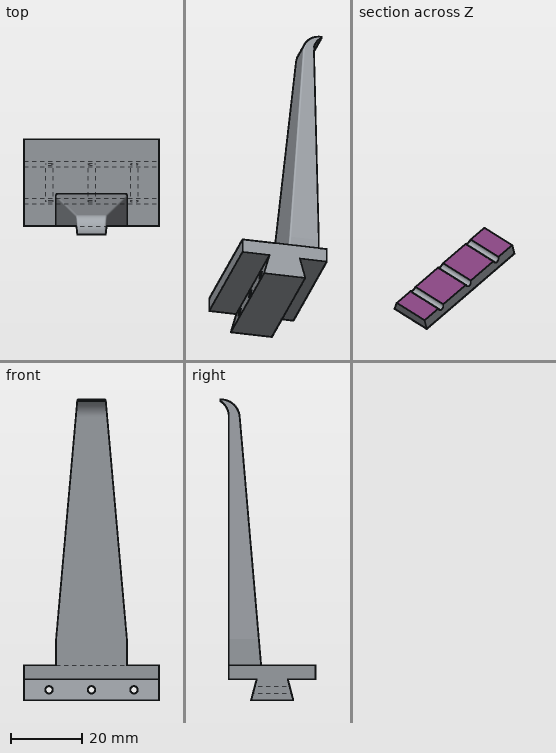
import cadquery as cq
import math

plate_length = 38.1
plate_depth = 24.5
plate_thickness = 4.0

rail_height = 5.9
rail_bottom_width = 11.95
rail_top_width = 8.8
hole_diameter = 2.0
hole_spacing = 11.95
hole_height = 3.0

total_height = 84.8
finger_width = 20.0
finger_base_depth = 9.2
taper_start_height = 17.2
hook_start_height = 79.8
hook_start_width = 8.9
hook_start_depth = 3.1
tip_overhang = 2.4
tip_edge_height = 0.5
inner_arc_radius = 5.1
edge_radius = 0.5

plate_top = rail_height + plate_thickness
rail_center = plate_depth / 2


def make_plate():
    return cq.Workplane("XY").box(
        plate_length, plate_depth, plate_thickness, centered=(True, False, False)
    ).translate((0, 0, rail_height))


def make_rail():
    rail = (
        cq.Workplane("YZ")
        .moveTo(rail_center - rail_bottom_width / 2, 0)
        .lineTo(rail_center + rail_bottom_width / 2, 0)
        .lineTo(rail_center + rail_top_width / 2, rail_height)
        .lineTo(rail_center - rail_top_width / 2, rail_height)
        .close()
        .extrude(plate_length / 2, both=True)
    )
    holes = (
        cq.Workplane("XZ")
        .pushPoints([(i * hole_spacing, hole_height) for i in (-1, 0, 1)])
        .circle(hole_diameter / 2)
        .extrude(-plate_depth)
    )
    return rail.cut(holes)


def make_finger():
    back_rise = hook_start_height - plate_top
    back_run = hook_start_depth - finger_base_depth
    inner_start = (0, hook_start_height)
    inner_end = (-tip_overhang, total_height - tip_edge_height)
    chord_y = inner_end[0] - inner_start[0]
    chord_z = inner_end[1] - inner_start[1]
    chord = math.hypot(chord_y, chord_z)
    sagitta = inner_arc_radius - math.sqrt(inner_arc_radius**2 - (chord / 2) ** 2)
    inner_middle = (
        (inner_start[0] + inner_end[0]) / 2 + sagitta * chord_z / chord,
        (inner_start[1] + inner_end[1]) / 2 - sagitta * chord_y / chord,
    )
    side = (
        cq.Workplane("YZ")
        .moveTo(0, plate_top)
        .lineTo(finger_base_depth, plate_top)
        .lineTo(hook_start_depth, hook_start_height)
        .tangentArcPoint((-tip_overhang, total_height), relative=False)
        .lineTo(*inner_end)
        .threePointArc(inner_middle, inner_start)
        .close()
        .extrude(finger_width / 2, both=True)
    )

    side_slope = (finger_width - hook_start_width) / 2 / (hook_start_height - taper_start_height)
    tip_half_width = finger_width / 2 - side_slope * (total_height - taper_start_height)
    outline = (
        cq.Workplane("XZ")
        .moveTo(-finger_width / 2, plate_top)
        .lineTo(finger_width / 2, plate_top)
        .lineTo(finger_width / 2, taper_start_height)
        .lineTo(tip_half_width, total_height)
        .lineTo(-tip_half_width, total_height)
        .lineTo(-finger_width / 2, taper_start_height)
        .close()
        .extrude(plate_depth, both=True)
    )
    finger = side.intersect(outline)

    back_middle = cq.Vector(0, finger_base_depth + back_run / 2, plate_top + back_rise / 2)
    back_face = finger.faces(cq.NearestToPointSelector(back_middle.toTuple()))
    return back_face.edges("not |X").fillet(edge_radius)


result = make_plate().union(make_rail()).union(make_finger())